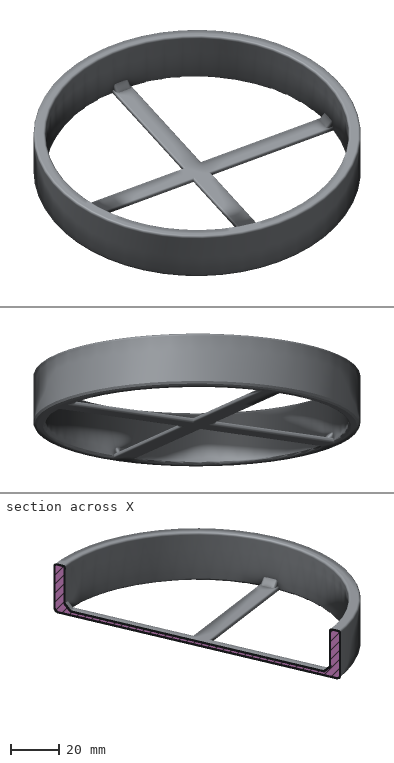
import cadquery as cq

outer_diameter = 135.5
wall = 5.0
height = 22.0
outer_radius = outer_diameter / 2
inner_radius = outer_radius - wall
rim_radius = 1.0

bevel_size = 1.5
bevel_step = 0.5

bar_width = 8.5
bar_thickness = 2.0
bar_edge_radius = 0.8

gusset_width = 7.1
gusset_run = 2.8
gusset_edge_radius = 1.0

wall_overlap = wall / 2


def make_ring():
    """Ring with rounded upper rims, a rounded inner lower rim and a bevelled outer lower rim."""
    blank = (
        cq.Workplane("XZ")
        .moveTo(inner_radius, 0)
        .lineTo(outer_radius - bevel_size, 0)
        .lineTo(outer_radius - bevel_step, bevel_step)
        .lineTo(outer_radius, bevel_size)
        .lineTo(outer_radius, height)
        .lineTo(inner_radius, height)
        .close()
        .revolve(360, (0, 0, 0), (0, 1, 0))
    )
    ring = blank.faces(">Z").edges().fillet(rim_radius)
    inner_edge = cq.selectors.RadiusNthSelector(0)
    return ring.faces("<Z").edges(inner_edge).fillet(rim_radius)


def make_cross():
    """Two crossed bars with rounded edges, ending inside the ring wall."""
    bar_length = 2 * (inner_radius + wall_overlap)
    bar = cq.Workplane("XY").rect(bar_length, bar_width).extrude(bar_thickness)
    cross = bar.union(bar.rotate((0, 0, 0), (0, 0, 1), 90))
    return cross.faces("<Z or >Z").edges().fillet(bar_edge_radius)


def make_gusset():
    """Ramp rising from the bar on the +X side to the ring wall, with rounded long edges."""
    root = bar_thickness / 2
    start = inner_radius - gusset_run - (bar_thickness - root)
    back = inner_radius + wall_overlap
    ramp = (
        cq.Workplane("XZ")
        .moveTo(start, root)
        .lineTo(back, root + back - start)
        .lineTo(back, root)
        .close()
        .extrude(gusset_width / 2, both=True)
    )
    return ramp.edges("not (|X or |Y or |Z)").fillet(gusset_edge_radius)


result = make_ring().union(make_cross())
gusset = make_gusset()
for quarter in range(4):
    result = result.union(gusset.rotate((0, 0, 0), (0, 0, 1), 90 * quarter))